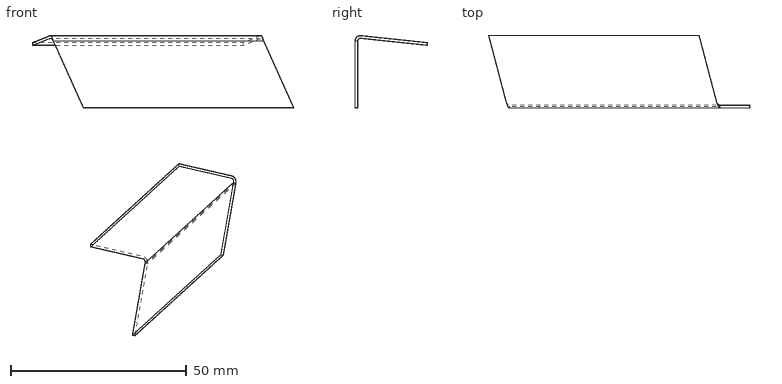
import cadquery as cq
import math

overall_length = 74.5
sheet_thickness = 0.8
outer_radius = 1.6
inner_radius = outer_radius - sheet_thickness
flange_length = 19.1
flange_tilt = 6.0
bend_angle = 90.0 + flange_tilt

upper_shift = 5.0
bend_shift = 0.9
lower_shift = 8.6
strip_width = overall_length - upper_shift - bend_shift - lower_shift

bend_y = outer_radius
bend_z = flange_length
upper_bend_start = (upper_shift, bend_y, bend_z)
lower_bend_start = (upper_shift + bend_shift, bend_y, bend_z)
tilt = math.radians(flange_tilt)
along_x = (1, 0, 0)
upper_normal = (0, math.sin(tilt), math.cos(tilt))
lower_normal = (0, -1, 0)


def skewed_flange(bend_start, outward_normal, end_shift, end_distance):
    """Parallelogram plate from the bend line to a parallel, shifted free edge."""
    plane = cq.Plane(origin=bend_start, xDir=along_x, normal=outward_normal)
    return (
        cq.Workplane(plane)
        .workplane(offset=inner_radius)
        .polyline([
            (0, 0),
            (strip_width, 0),
            (strip_width + end_shift, end_distance),
            (end_shift, end_distance),
        ])
        .close()
        .extrude(sheet_thickness)
    )


def skewed_bend():
    """Sheet cross-section swept around the bend axis while it advances along X."""
    middle_radius = (inner_radius + outer_radius) / 2
    pitch = bend_shift * 360.0 / bend_angle
    plane = cq.Plane(origin=upper_bend_start, xDir=upper_normal, normal=along_x)
    helix = cq.Wire.makeHelix(pitch, bend_shift, middle_radius)
    path = cq.Workplane(plane).newObject([helix.moved(cq.Location(plane))])
    section_plane = cq.Plane(
        origin=upper_bend_start,
        xDir=upper_normal,
        normal=(0, math.cos(tilt), -math.sin(tilt)),
    )
    return (
        cq.Workplane(section_plane)
        .moveTo(inner_radius, 0)
        .lineTo(outer_radius, 0)
        .lineTo(outer_radius, strip_width)
        .lineTo(inner_radius, strip_width)
        .close()
        .sweep(path, isFrenet=True)
    )


upper_flange = skewed_flange(upper_bend_start, upper_normal, -upper_shift, flange_length)
lower_flange = skewed_flange(lower_bend_start, lower_normal, lower_shift, -flange_length)

result = upper_flange.union(skewed_bend()).union(lower_flange)